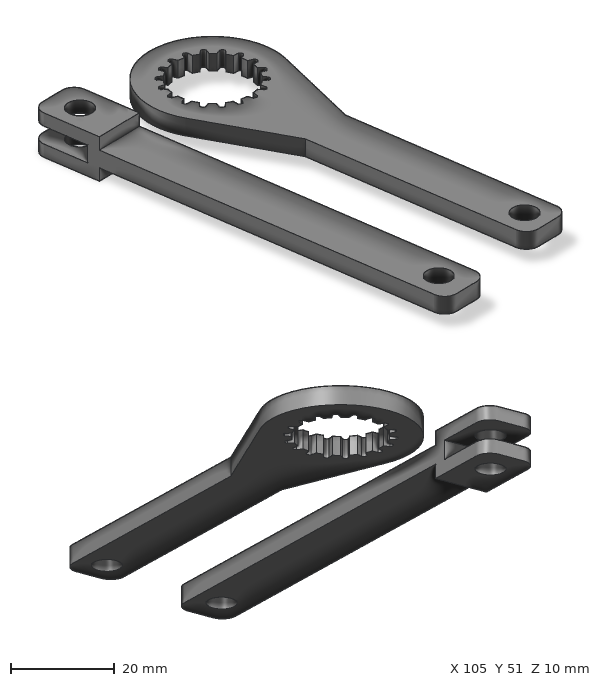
import cadquery as cq
import math

arm_width = 12.0
arm_thickness = 4.0
pin_hole_diameter = 6.0
corner_radius = 3.0

ring_diameter = 32.0
ring_radius = ring_diameter / 2
handle_reach = 85.0
handle_hole_inset = 6.0
flare_reach = 28.6
bore_radius = 9.6
groove_count = 18
groove_floor_radius = 11.1
groove_mouth_width = 1.8
groove_floor_width = 1.2
groove_floor_rise = 0.3

overall_width = 51.0
fork_arm_length = 105.0
fork_length = 17.0
fork_height = 10.0
slot_depth = 14.0
fork_arm_hole_inset = 7.0
fork_arm_left = -ring_radius
fork_arm_y = ring_radius + arm_width / 2 - overall_width


def bar(x_start, length, center_y, height):
    """Bar of arm width along X, centred on the plane Z = 0."""
    return cq.Workplane("XY").box(length, arm_width, height).translate((x_start + length / 2, center_y, 0))


def plate(outline, thickness):
    """Extrude a closed outline on the XY plane to equal heights above and below it."""
    return outline.extrude(thickness / 2, both=True)


def pin_hole(center_x, center_y):
    """Cutter for a vertical pin hole through any part of either body."""
    return plate(cq.Workplane("XY").center(center_x, center_y).circle(pin_hole_diameter / 2), fork_height)


def ring_with_flare():
    """Round head whose sides run tangentially to the edges of the handle."""
    half_width = arm_width / 2
    junction_distance = math.hypot(flare_reach, half_width)
    tangent_angle = math.atan2(half_width, flare_reach) + math.acos(ring_radius / junction_distance)
    tangent_x = ring_radius * math.cos(tangent_angle)
    tangent_y = ring_radius * math.sin(tangent_angle)
    outline = (
        cq.Workplane("XY")
        .moveTo(flare_reach, half_width)
        .lineTo(tangent_x, tangent_y)
        .threePointArc((-ring_radius, 0), (tangent_x, -tangent_y))
        .lineTo(flare_reach, -half_width)
        .close()
    )
    return plate(outline, arm_thickness)


def splined_bore():
    """Cutter for the bore and its evenly spaced, tapered, round-floored grooves."""
    cutter = plate(cq.Workplane("XY").circle(bore_radius), arm_thickness)
    mouth_x = math.sqrt(bore_radius**2 - (groove_mouth_width / 2) ** 2)
    floor_x = groove_floor_radius - groove_floor_rise
    groove_outline = (
        cq.Workplane("XY")
        .lineTo(mouth_x, -groove_mouth_width / 2)
        .lineTo(floor_x, -groove_floor_width / 2)
        .threePointArc((groove_floor_radius, 0), (floor_x, groove_floor_width / 2))
        .lineTo(mouth_x, groove_mouth_width / 2)
        .close()
    )
    groove = plate(groove_outline, arm_thickness)
    for index in range(groove_count):
        angle = index * 360 / groove_count
        cutter = cutter.union(groove.rotate((0, 0, 0), (0, 0, 1), angle))
    return cutter


def make_wrench():
    handle = bar(0, handle_reach, 0, arm_thickness).edges("|Z and >X").fillet(corner_radius)
    wrench = ring_with_flare().union(handle)
    wrench = wrench.cut(splined_bore())
    return wrench.cut(pin_hole(handle_reach - handle_hole_inset, 0))


def make_forked_arm():
    arm = bar(fork_arm_left, fork_arm_length, fork_arm_y, arm_thickness)
    fork = bar(fork_arm_left, fork_length, fork_arm_y, fork_height)
    body = arm.union(fork)
    body = body.edges("|Z and (<X or >X)").fillet(corner_radius)
    slot = bar(fork_arm_left, slot_depth, fork_arm_y, arm_thickness)
    body = body.cut(slot)
    fork_arm_right = fork_arm_left + fork_arm_length
    for hole_x in (fork_arm_left + fork_arm_hole_inset, fork_arm_right - fork_arm_hole_inset):
        body = body.cut(pin_hole(hole_x, fork_arm_y))
    return body


wrench = make_wrench()
forked_arm = make_forked_arm()

result = cq.Compound.makeCompound([wrench.val(), forked_arm.val()])